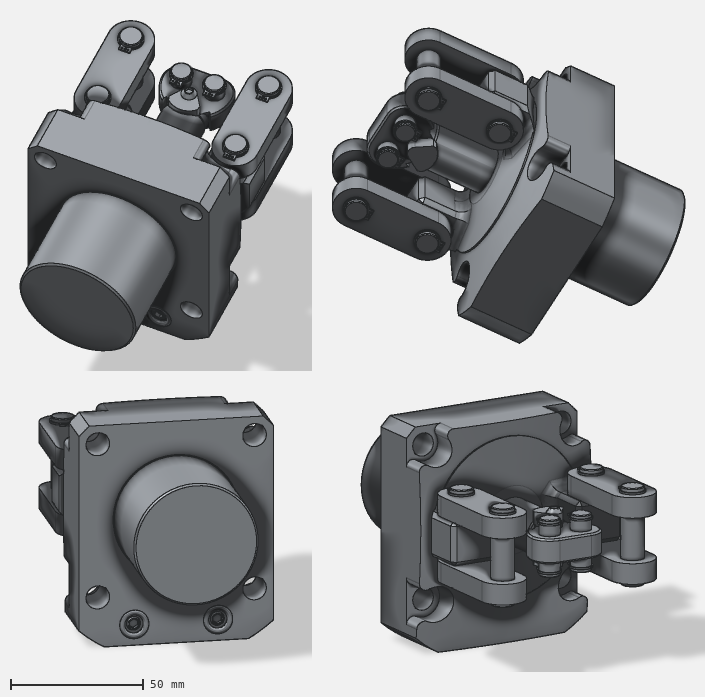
import cadquery as cq
import math


flange_width = 75.0
half_width = flange_width / 2
top_height = 37.5
bottom_height = 49.9
top_corner_chamfer = 3.9
turned_radius = 57.1
cone_slope = math.tan(math.radians(10))
flange_side_height = 29.6

hole_offset = 30.2
hole_diameter = 9.0
pocket_floor = 19.0
upper_pocket_radius = 6.5
upper_pocket_lip = 2.6
lower_pocket_radius = 7.2
lower_pocket_lip = 2.9

barrel_length = 38.2
barrel_radius = 24.0
barrel_chamfer = 0.7
collar_radius = 24.3
collar_length = 0.4

port_x = 16.1
port_z = -41.7
seal_ring_radius = 4.6
seal_section_radius = 1.1
seal_protrusion = 0.4
port_recess_radius = 5.6
port_recess_depth = 1.7
plug_radius = 2.7
plug_height = 0.7
plug_chamfer = 0.5
plug_hex_size = 3.4
plug_hex_depth = 1.8

cap_radius = 32.0
cap_rim_height = 31.2
cap_flat_radius = 13.5
cap_top = cap_rim_height + cone_slope * (cap_radius - cap_flat_radius)

arm_thickness = 17.7
arm_inner_x = 17.5
arm_top = 53.3
arm_chamfer = 1.8
arm_root_fillet = 4.3
arm_taper_top = 37.5
link_clearance_radius = 10.0

link_width = 18.0
link_gap = 17.9
link_thickness = 8.1
link_tip = 122.3 - barrel_length
link_pin_spacing = 30.6
link_pin_radius = 4.5
link_pin_half_length = 19.3
link_x = half_width - link_width / 2
upper_pin_y = link_tip - link_width / 2
lower_pin_y = upper_pin_y - link_pin_spacing
link_outer_z = link_gap / 2 + link_thickness

clip_overhang = 0.5
clip_thickness = 0.7
clip_lug_width = 4.6
clip_lug_reach = 1.8
clip_slit = 0.5
clip_eye_diameter = 0.7
pin_chamfer = 0.4

rod_radius = 8.9
rod_bottom = 0.0
rod_shoulder_start = 59.8
rod_shoulder_end = 60.7
neck_radius = 8.6
neck_end = 64.8

head_center_y = 73.4
head_radius = 14.7
head_thickness = 9.8
head_chamfer = 0.7
head_pin_x = 6.8
head_corner_radius = head_radius - head_pin_x
head_end_angle = math.radians(47)
head_notch_x = 8.9
head_notch_y = 64.3
head_root_x = 6.1
head_root_y = 61.9
relief_radius = 13.0
relief_height = 6.1
rod_pin_radius = 4.0
rod_pin_half_length = 11.3
rod_clip_inset = 1.3

lug_half_height = 10.5
lug_center_y = 65.2
lug_tip_radius = 3.0
lug_arc_radius = 8.3
lug_corner_x = 6.4
lug_corner_y = 61.0
lug_arc_end_x = 6.0
nipple_height = 1.8
nipple_top_radius = 1.7
nipple_hex_size = 2.7
nipple_hex_depth = 1.2

hex_sides = 6
hex_corner_factor = 2 / math.sqrt(3)


def revolve_about_y(points):
    """Solid of revolution about the Y axis from (radius, y) points."""
    return cq.Workplane("XY").polyline(points).close().revolve(360, (0, 0), (0, 1))


def cylinder_along_z(x, y, radius, z_min, z_max):
    return cq.Workplane("XY", origin=(x, y, z_min)).circle(radius).extrude(z_max - z_min)


def front_plane(y):
    """Plane facing -Y at depth y, so that negative extrusions run towards +Y."""
    return cq.Workplane("XZ", origin=(0, y, 0))



def make_flange():
    """Plate with a chamfered top, a turned lower edge and a conical +Y face."""
    side_end_z = -math.sqrt(turned_radius**2 - half_width**2)
    bottom_end_x = math.sqrt(turned_radius**2 - bottom_height**2)
    arc_angle = (math.atan2(-side_end_z, half_width) + math.atan2(bottom_height, bottom_end_x)) / 2
    arc_x = turned_radius * math.cos(arc_angle)
    arc_z = -turned_radius * math.sin(arc_angle)
    chamfer_x = half_width - top_corner_chamfer
    chamfer_z = top_height - top_corner_chamfer
    plate = (
        front_plane(0)
        .moveTo(-chamfer_x, top_height)
        .lineTo(chamfer_x, top_height)
        .lineTo(half_width, chamfer_z)
        .lineTo(half_width, side_end_z)
        .threePointArc((arc_x, arc_z), (bottom_end_x, -bottom_height))
        .lineTo(-bottom_end_x, -bottom_height)
        .threePointArc((-arc_x, arc_z), (-half_width, side_end_z))
        .lineTo(-half_width, chamfer_z)
        .close()
        .extrude(-cap_rim_height)
    )
    outer_height = flange_side_height - cone_slope * (turned_radius - half_width)
    step_height = flange_side_height + cone_slope * (half_width - cap_radius)
    envelope = revolve_about_y(
        [(0, 0), (turned_radius, 0), (turned_radius, outer_height), (cap_radius, step_height), (0, step_height)]
    )
    return plate.intersect(envelope)


def make_pocket_mouth(hole_x, hole_z, angle, edge_distance, radius, lip):
    """Opening from a pocket to a plate edge, flaring out over rounded lips."""
    lip_u = edge_distance - lip
    lip_v = math.sqrt((radius + lip) ** 2 - lip_u**2)
    tangent_u = lip_u * radius / (radius + lip)
    tangent_v = lip_v * radius / (radius + lip)
    half_turn = math.atan2(lip_v, lip_u) / 2
    middle_u = lip_u + lip * math.sin(half_turn)
    middle_v = lip_v - lip * math.cos(half_turn)
    mouth = (
        front_plane(pocket_floor)
        .moveTo(0, 0)
        .lineTo(tangent_u, tangent_v)
        .threePointArc((middle_u, middle_v), (edge_distance, lip_v))
        .lineTo(edge_distance + lip, lip_v)
        .lineTo(edge_distance + lip, -lip_v)
        .lineTo(edge_distance, -lip_v)
        .threePointArc((middle_u, -middle_v), (tangent_u, -tangent_v))
        .close()
        .extrude(-cap_rim_height)
    )
    return mouth.rotate((0, 0, 0), (0, 1, 0), -angle).translate((hole_x, 0, hole_z))


def make_pocket(side, upper):
    """Pocket above one mounting hole; the upper pockets also open to the top edge."""
    hole_x = side * hole_offset
    hole_z = hole_offset if upper else -hole_offset
    radius = upper_pocket_radius if upper else lower_pocket_radius
    lip = upper_pocket_lip if upper else lower_pocket_lip
    side_angle = 0 if side > 0 else 180
    pocket = front_plane(pocket_floor).center(hole_x, hole_z).circle(radius).extrude(-cap_rim_height)
    side_distance = half_width - hole_offset
    pocket = pocket.union(make_pocket_mouth(hole_x, hole_z, side_angle, side_distance, radius, lip))
    if upper:
        top_distance = top_height - hole_offset
        pocket = pocket.union(make_pocket_mouth(hole_x, hole_z, 90, top_distance, radius, lip))
        corner_size = side_distance + lip
        corner = (
            front_plane(pocket_floor)
            .center(hole_x + side * corner_size / 2, hole_z + corner_size / 2)
            .rect(corner_size, corner_size)
            .extrude(-cap_rim_height)
        )
        pocket = pocket.union(corner)
    return pocket


def make_barrel():
    return revolve_about_y(
        [
            (0, 0),
            (collar_radius, 0),
            (collar_radius, -collar_length),
            (barrel_radius, -collar_length),
            (barrel_radius, barrel_chamfer - barrel_length),
            (barrel_radius - barrel_chamfer, -barrel_length),
            (0, -barrel_length),
        ]
    )


def add_port(body, x):
    """Recess holding a protruding seal ring around a hexagon-socket plug."""
    recess = front_plane(0).center(x, port_z).circle(port_recess_radius).extrude(-port_recess_depth)
    plug = (
        front_plane(port_recess_depth)
        .center(x, port_z)
        .circle(plug_radius)
        .extrude(plug_height)
        .faces("<Y")
        .chamfer(plug_chamfer)
    )
    socket = (
        front_plane(port_recess_depth - plug_height)
        .center(x, port_z)
        .polygon(hex_sides, plug_hex_size * hex_corner_factor)
        .extrude(-plug_hex_depth)
        .rotate((x, 0, port_z), (x, 1, port_z), 180 / hex_sides)
    )
    seal_center = cq.Vector(x, seal_section_radius - seal_protrusion, port_z)
    seal = cq.Solid.makeTorus(seal_ring_radius, seal_section_radius, seal_center, cq.Vector(0, 1, 0))
    return body.cut(recess).union(plug).cut(socket).union(cq.Workplane(seal))


def make_arm(side):
    """Block-shaped clevis arm, beveled on its long edges and around its end."""
    arm = (
        cq.Workplane("XY")
        .box(half_width - arm_inner_x, arm_top, arm_thickness, centered=(True, False, True))
        .edges("|Y or >Y")
        .chamfer(arm_chamfer)
    )
    return arm.translate((side * (half_width + arm_inner_x) / 2, 0, 0))


def make_cap():
    """Conical cap with two clevis arms blended into it."""
    working_radius = 2 * cap_radius
    cone_floor = cap_rim_height - cone_slope * (working_radius - cap_radius)
    cone_apex = cap_rim_height + cone_slope * cap_radius
    cap = revolve_about_y([(0, 0), (working_radius, 0), (working_radius, cone_floor), (0, cone_apex)])
    for side in (-1, 1):
        cap = cap.union(make_arm(side))
    cap = cap.edges("%HYPERBOLA").fillet(arm_root_fillet)
    cone_tip = front_plane(cap_top).circle(cap_flat_radius).extrude(cap_top - cone_apex)
    return trim_cap(cap.cut(cone_tip))


def trim_cap(cap):
    """Cut the blended cap to its rim and slope the outer feet of the arms."""
    rim_limit = front_plane(0).circle(cap_radius).extrude(-arm_taper_top)
    taper_foot_x = half_width - (arm_taper_top - cap_rim_height)
    arm_limit = (
        cq.Workplane("XY")
        .polyline(
            [
                (-taper_foot_x, cap_rim_height),
                (-half_width, arm_taper_top),
                (-half_width, arm_top),
                (half_width, arm_top),
                (half_width, arm_taper_top),
                (taper_foot_x, cap_rim_height),
            ]
        )
        .close()
        .extrude(arm_thickness, both=True)
    )
    return cap.intersect(rim_limit.union(arm_limit))


def make_housing():
    housing = make_flange().union(make_barrel()).union(make_cap())
    for side in (-1, 1):
        for upper in (False, True):
            housing = housing.cut(make_pocket(side, upper))
            hole_z = hole_offset if upper else -hole_offset
            hole = (
                front_plane(0)
                .center(side * hole_offset, hole_z)
                .circle(hole_diameter / 2)
                .extrude(-pocket_floor)
            )
            housing = housing.cut(hole)
        housing = add_port(housing, side * port_x)
        housing = housing.cut(
            cylinder_along_z(side * link_x, lower_pin_y, link_pin_radius, -arm_thickness, arm_thickness)
        )
        for end in (-1, 1):
            clearance = cylinder_along_z(
                side * link_x, lower_pin_y, link_clearance_radius, link_gap / 2, link_outer_z
            )
            if end < 0:
                clearance = clearance.mirror("XY")
            housing = housing.cut(clearance)
    rod_bore = front_plane(rod_bottom).circle(rod_radius).extrude(-cap_top)
    return housing.cut(rod_bore)



def make_clipped_pin(x, y, radius, half_length, clip_z):
    """Pin along Z with a retaining clip near each end; clip_z is the inner side of the clip."""
    pin = cylinder_along_z(x, y, radius, -half_length, half_length).faces("<Z or >Z").chamfer(pin_chamfer)
    lug_length = radius + clip_lug_reach
    clip = cylinder_along_z(x, y, radius + clip_overhang, clip_z, clip_z + clip_thickness)
    lugs = (
        cq.Workplane("XY", origin=(x, y - lug_length / 2, clip_z))
        .rect(clip_lug_width, lug_length)
        .extrude(clip_thickness)
    )
    slit = (
        cq.Workplane("XY", origin=(x, y - radius - clip_lug_reach / 2, clip_z))
        .rect(clip_slit, clip_lug_reach)
        .extrude(clip_thickness)
    )
    eyes = (
        cq.Workplane("XY", origin=(x, y - radius - clip_lug_reach / 2, clip_z))
        .pushPoints([(-clip_lug_width / 4, 0), (clip_lug_width / 4, 0)])
        .circle(clip_eye_diameter / 2)
        .extrude(clip_thickness)
    )
    clip = clip.union(lugs).cut(slit).cut(eyes)
    return pin.union(clip).union(clip.mirror("XY"))


def make_link(x):
    """Two parallel link plates joined by an upper and a lower pin."""
    plate = (
        cq.Workplane("XY", origin=(x, (upper_pin_y + lower_pin_y) / 2, link_gap / 2))
        .slot2D(link_pin_spacing + link_width, link_width, 90)
        .extrude(link_thickness)
    )
    link = plate.union(plate.mirror("XY"))
    for pin_y in (lower_pin_y, upper_pin_y):
        link = link.union(make_clipped_pin(x, pin_y, link_pin_radius, link_pin_half_length, link_outer_z))
    return link



def make_head():
    """Flat plate with rounded corners about the two pins and notches beside the neck."""
    corner_diagonal = head_corner_radius * math.sqrt(0.5)
    top_y = head_center_y + head_corner_radius
    end_x = head_radius * math.cos(head_end_angle)
    end_y = head_center_y - head_radius * math.sin(head_end_angle)
    side_x = head_radius * math.cos(head_end_angle / 2)
    side_y = head_center_y - head_radius * math.sin(head_end_angle / 2)
    corner_x = head_pin_x + corner_diagonal
    corner_y = head_center_y + corner_diagonal
    head = (
        cq.Workplane("XY")
        .workplane(offset=-head_thickness / 2)
        .moveTo(-head_pin_x, top_y)
        .lineTo(head_pin_x, top_y)
        .threePointArc((corner_x, corner_y), (head_radius, head_center_y))
        .threePointArc((side_x, side_y), (end_x, end_y))
        .lineTo(head_notch_x, head_notch_y)
        .lineTo(head_root_x, head_root_y)
        .lineTo(-head_root_x, head_root_y)
        .lineTo(-head_notch_x, head_notch_y)
        .lineTo(-end_x, end_y)
        .threePointArc((-side_x, side_y), (-head_radius, head_center_y))
        .threePointArc((-corner_x, corner_y), (-head_pin_x, top_y))
        .close()
        .extrude(head_thickness)
    )
    rounded_zone = cq.selectors.BoxSelector(
        (-2 * head_radius, head_notch_y + head_chamfer, -head_thickness),
        (2 * head_radius, top_y + head_chamfer, head_thickness),
    )
    return head.faces("<Z or >Z").edges(rounded_zone).chamfer(head_chamfer)


def make_shank():
    """Rod with a stepped-in neck, relieved by a cone above and below the head."""
    shank = revolve_about_y(
        [
            (0, rod_bottom),
            (rod_radius, rod_bottom),
            (rod_radius, rod_shoulder_start),
            (neck_radius, rod_shoulder_end),
            (neck_radius, neck_end),
            (0, neck_end),
        ]
    )
    relief = cq.Workplane(
        cq.Solid.makeCone(
            relief_radius,
            relief_radius + relief_height,
            relief_height,
            cq.Vector(0, head_center_y, head_thickness / 2),
            cq.Vector(0, 0, 1),
        )
    )
    return shank.cut(relief).cut(relief.mirror("XY"))


def make_lug():
    """Fan-shaped lug through the rod end, with its tip between the two pins."""
    lean = math.atan2(lug_center_y - lug_corner_y, lug_corner_x)
    reach = math.hypot(lug_center_y - lug_corner_y, lug_corner_x)
    tangent_angle = math.acos(lug_tip_radius / reach) - lean
    tip_x = lug_tip_radius * math.cos(tangent_angle)
    tip_y = lug_center_y + lug_tip_radius * math.sin(tangent_angle)
    arc_end_y = lug_center_y - math.sqrt(lug_arc_radius**2 - lug_arc_end_x**2)
    return (
        cq.Workplane("XY")
        .moveTo(tip_x, tip_y)
        .lineTo(lug_corner_x, lug_corner_y)
        .lineTo(lug_arc_end_x, arc_end_y)
        .threePointArc((0, lug_center_y - lug_arc_radius), (-lug_arc_end_x, arc_end_y))
        .lineTo(-lug_corner_x, lug_corner_y)
        .lineTo(-tip_x, tip_y)
        .threePointArc((0, lug_center_y + lug_tip_radius), (tip_x, tip_y))
        .close()
        .extrude(lug_half_height, both=True)
    )


def make_nipple():
    """Conical nipple on top of the lug with a hexagon socket."""
    nipple_top = lug_half_height + nipple_height
    cone = cq.Workplane(
        cq.Solid.makeCone(
            lug_tip_radius,
            nipple_top_radius,
            nipple_height,
            cq.Vector(0, lug_center_y, lug_half_height),
            cq.Vector(0, 0, 1),
        )
    )
    socket = (
        cq.Workplane("XY", origin=(0, lug_center_y, nipple_top))
        .polygon(hex_sides, nipple_hex_size * hex_corner_factor)
        .extrude(-nipple_hex_depth)
    )
    return cone.cut(socket)


def make_rod():
    rod = make_shank().union(make_head()).union(make_lug()).union(make_nipple())
    rod_clip_z = rod_pin_half_length - rod_clip_inset - clip_thickness
    for side in (-1, 1):
        pin = make_clipped_pin(
            side * head_pin_x, head_center_y, rod_pin_radius, rod_pin_half_length, rod_clip_z
        )
        rod = rod.union(pin)
    return rod


housing = make_housing()
rod = make_rod()
links = [make_link(side * link_x) for side in (-1, 1)]

result = cq.Compound.makeCompound(
    [housing.solids().val(), rod.solids().val(), *[link.solids().val() for link in links]]
)